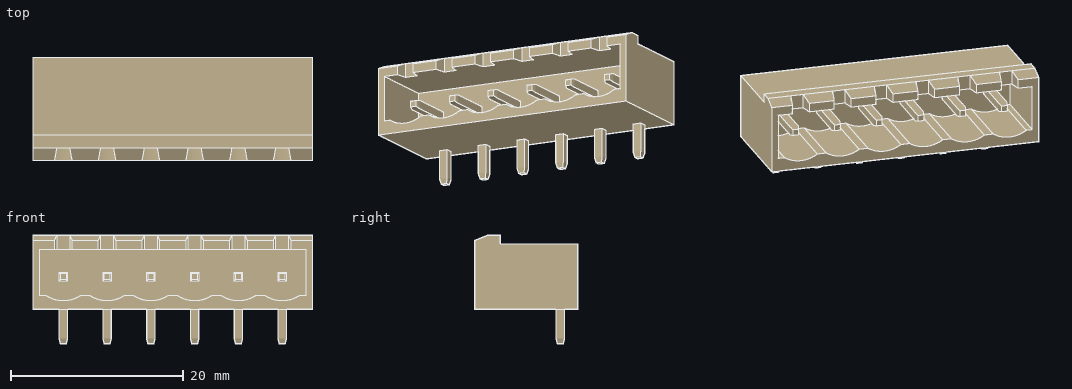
import cadquery as cq

pin_count = 6
pitch = 5.08
pin_width = 1.0
tip_width = 0.7
tip_length = 0.6
tail_length = 4.0
contact_height = 3.8
contact_recess = 2.0
tail_inset = 2.05

end_margin = 3.54
length = (pin_count - 1) * pitch + 2 * end_margin
depth = 12.0
rear_height = 7.6
ridge_height = 8.6
ridge_depth = 3.0
bevel_depth = 1.5
bevel_drop = 0.6

end_wall = 0.8
floor_height = 1.6
ceiling_height = 6.95
cavity_depth = 8.5
scallop_half_width = 2.0
scallop_depth = 0.6

notch_front_width = 2.05
notch_rear_width = 1.5
notch_depth = bevel_depth

pin_positions = [(i - (pin_count - 1) / 2) * pitch for i in range(pin_count)]
tail_y = depth - tail_inset


def make_housing():
    """Side profile with the raised, bevelled front ridge, extruded along X."""
    profile = [
        (0, 0),
        (depth, 0),
        (depth, rear_height),
        (ridge_depth, rear_height),
        (ridge_depth, ridge_height),
        (bevel_depth, ridge_height),
        (0, ridge_height - bevel_drop),
    ]
    return cq.Workplane("YZ").polyline(profile).close().extrude(length / 2, both=True)


def make_cavity():
    """Front pocket whose floor dips in a shallow arc under every pin."""
    half_width = length / 2 - end_wall
    outline = cq.Workplane("XZ").moveTo(-half_width, ceiling_height).lineTo(-half_width, floor_height)
    for x in pin_positions:
        outline = outline.lineTo(x - scallop_half_width, floor_height).threePointArc(
            (x, floor_height - scallop_depth), (x + scallop_half_width, floor_height)
        )
    outline = outline.lineTo(half_width, floor_height).lineTo(half_width, ceiling_height).close()
    return outline.extrude(-cavity_depth)


def make_notch(x):
    """Notch from the cavity up through the lip, wider at the open face."""
    plan = [
        (x - notch_front_width / 2, 0),
        (x + notch_front_width / 2, 0),
        (x + notch_rear_width / 2, notch_depth),
        (x - notch_rear_width / 2, notch_depth),
    ]
    bottom = cq.Workplane("XY").workplane(offset=ceiling_height)
    return bottom.polyline(plan).close().extrude(ridge_height - ceiling_height)


def make_tapered_bar(start, direction, bar_length):
    """Square bar from start along direction, ending in a tapered tip."""
    plane = cq.Plane(origin=start, xDir=(1, 0, 0), normal=direction)
    shank_length = bar_length - tip_length
    shank = cq.Workplane(plane).rect(pin_width, pin_width).extrude(shank_length)
    tip = (
        cq.Workplane(plane)
        .workplane(offset=shank_length)
        .rect(pin_width, pin_width)
        .workplane(offset=tip_length)
        .rect(tip_width, tip_width)
        .loft()
    )
    return shank.union(tip)


def make_contact(x):
    """Right-angle contact: a mating pin to the front and a tail downwards."""
    mating_pin = make_tapered_bar((x, tail_y, contact_height), (0, -1, 0), tail_y - contact_recess)
    tail = make_tapered_bar((x, tail_y, contact_height), (0, 0, -1), contact_height + tail_length)
    return mating_pin.union(tail)


result = make_housing().cut(make_cavity())
for pin_x in pin_positions:
    result = result.cut(make_notch(pin_x))
for pin_x in pin_positions:
    result = result.union(make_contact(pin_x))